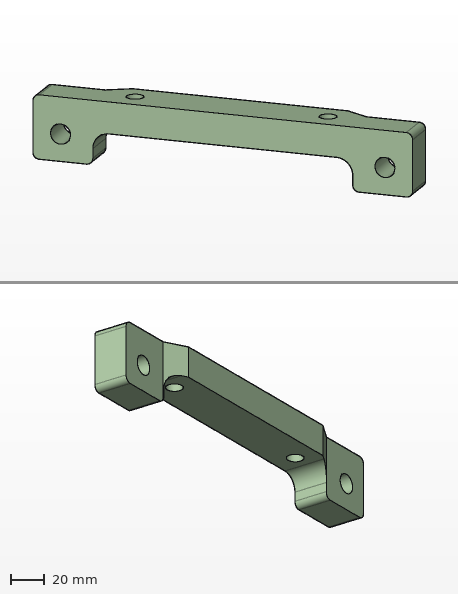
import cadquery as cq

length = 240.0
height = 40.0
depth = 31.0
foot_depth = 23.0
foot_length = 38.0
beam_height = 20.0
corner_radius = 4.0
arch_radius = 10.0

pad_base_length = 165.0
pad_top_length = 135.8

foot_hole_diameter = 12.5
foot_hole_spacing = 205.0
foot_hole_height = 17.0
beam_hole_diameter = 10.5
beam_hole_spacing = 122.0
beam_hole_setback = 15.5


def bridge_body():
    """Beam on two feet, full depth, with rounded corners along Y."""
    block = cq.Workplane("XY").box(length, depth, height, centered=(True, False, False))
    block = block.edges("|Y").fillet(corner_radius)
    arch_length = length - 2 * foot_length
    arch_height = height - beam_height
    arch = cq.Workplane("XY").box(arch_length, depth, arch_height, centered=(True, False, False))
    arch = arch.edges("|Y and >Z").fillet(arch_radius)
    body = block.cut(arch)
    inner_toes = cq.selectors.BoxSelector(
        (-arch_length / 2 - corner_radius / 2, -2.5, -corner_radius / 2),
        (arch_length / 2 + corner_radius / 2, depth + 2.5, corner_radius / 2),
    )
    return body.edges("|Y").edges(inner_toes).fillet(corner_radius)


def plan_envelope():
    """Outline seen along Z: a straight bar with the tapered rear pad."""
    return (
        cq.Workplane("XY")
        .moveTo(-length / 2, 0)
        .lineTo(length / 2, 0)
        .lineTo(length / 2, foot_depth)
        .lineTo(pad_base_length / 2, foot_depth)
        .lineTo(pad_top_length / 2, depth)
        .lineTo(-pad_top_length / 2, depth)
        .lineTo(-pad_base_length / 2, foot_depth)
        .lineTo(-length / 2, foot_depth)
        .close()
        .extrude(height)
    )


def foot_holes():
    """Horizontal through holes, one in each foot."""
    return (
        cq.Workplane("XZ")
        .pushPoints([(side * foot_hole_spacing / 2, foot_hole_height) for side in (-1, 1)])
        .circle(foot_hole_diameter / 2)
        .extrude(-depth)
    )


def beam_holes():
    """Vertical through holes in the beam."""
    return (
        cq.Workplane("XY")
        .pushPoints([(side * beam_hole_spacing / 2, beam_hole_setback) for side in (-1, 1)])
        .circle(beam_hole_diameter / 2)
        .extrude(height)
    )


result = bridge_body().intersect(plan_envelope()).cut(foot_holes()).cut(beam_holes())